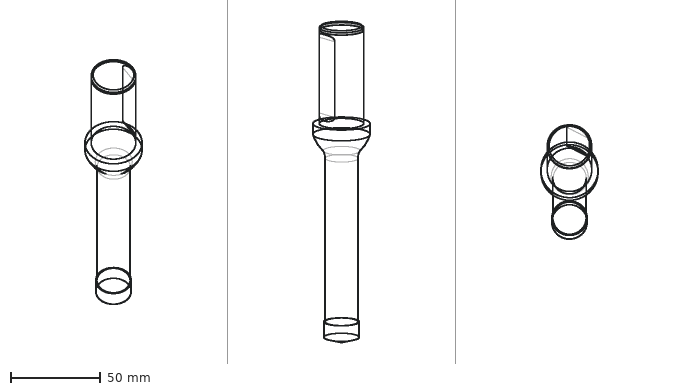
import cadquery as cq
import math

total_length = 182.0

head_diameter = 19.8
head_top = 12.0
point_height = 3.1

body_diameter = 18.5
throat_bottom = 106.1
throat_top = 110.5
throat_radius = 10.4
flange_diameter = 32.0
flange_bottom = 119.8
flange_top = 126.0
bell_bulge = 0.7

shank_diameter = 25.0
chamfer_width = 1.1
chamfer_height = 1.0

groove_top = 180.5
groove_bottom = 179.6
groove_depth = 0.2

flat_depth = 2.2
flat_bottom = 129.2
flat_top = 178.9
flat_end_radius = 3.3

head_radius = head_diameter / 2
body_radius = body_diameter / 2
flange_radius = flange_diameter / 2
shank_radius = shank_diameter / 2


def make_head():
    """Cylindrical cutting head with a shallow conical point."""
    return (
        cq.Workplane("XZ")
        .lineTo(head_radius, point_height)
        .lineTo(head_radius, head_top)
        .lineTo(0, head_top)
        .close()
        .revolve(360, (0, 0), (0, 1))
    )


def make_flat_cutter():
    """Prism that cuts the clamping flat, with concave ends tangent to the flat."""
    flat_y = shank_radius - flat_depth
    end_run = math.sqrt(flat_end_radius**2 - (flat_end_radius - flat_depth) ** 2)
    return (
        cq.Workplane("YZ")
        .moveTo(shank_radius, flat_top)
        .lineTo(shank_radius, flat_bottom)
        .radiusArc((flat_y, flat_bottom + end_run), flat_end_radius)
        .lineTo(flat_y, flat_top - end_run)
        .radiusArc((shank_radius, flat_top), flat_end_radius)
        .close()
        .extrude(shank_radius, both=True)
    )


def make_holder():
    """Body, flared flange, chamfered and grooved shank turned in one piece."""
    bell_r_change = flange_radius - throat_radius
    bell_z_change = flange_bottom - throat_top
    bell_chord = math.hypot(bell_r_change, bell_z_change)
    bell_middle = (
        (throat_radius + flange_radius) / 2 + bell_bulge * bell_z_change / bell_chord,
        (throat_top + flange_bottom) / 2 - bell_bulge * bell_r_change / bell_chord,
    )
    turned = (
        cq.Workplane("XZ")
        .moveTo(0, head_top)
        .lineTo(body_radius, head_top)
        .lineTo(body_radius, throat_bottom)
        .tangentArcPoint((throat_radius, throat_top), relative=False)
        .threePointArc(bell_middle, (flange_radius, flange_bottom))
        .lineTo(flange_radius, flange_top)
        .lineTo(shank_radius, flange_top)
        .lineTo(shank_radius, groove_bottom)
        .lineTo(shank_radius - groove_depth, groove_bottom)
        .lineTo(shank_radius, groove_top)
        .lineTo(shank_radius, total_length - chamfer_height)
        .lineTo(shank_radius - chamfer_width, total_length)
        .lineTo(0, total_length)
        .close()
        .revolve(360, (0, 0), (0, 1))
    )
    return turned.cut(make_flat_cutter())


head = make_head()
holder = make_holder()

result = cq.Compound.makeCompound([head.val(), holder.val()])